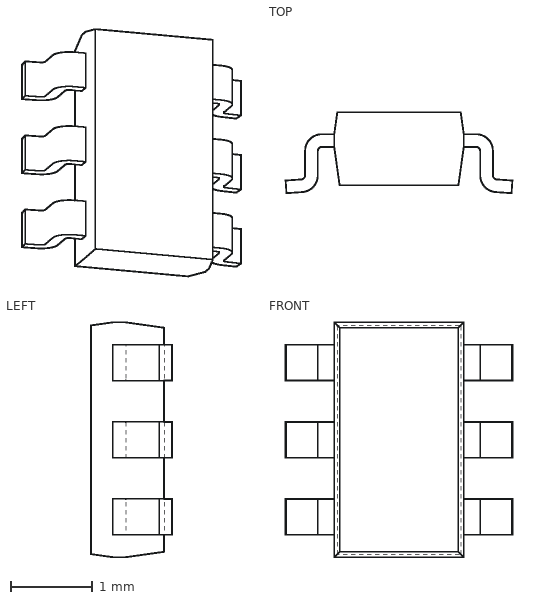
import cadquery as cq
import math


housing_length = 2.9
housing_width = 1.6
overall_height = 1.0
back_depth = 0.27
front_depth = 0.473
draft_angle = 8.0

lead_thickness = 0.16
lead_width = 0.445
lead_pitch = 0.95
leads_per_side = 3
lead_span = 2.8
leg_gap = 2.0
inner_radius = 0.05
foot_angle = 4.0

band_back = overall_height - back_depth
band_front = band_back - lead_thickness


def make_housing():
    """Straight band with a tapered part on its back and its front."""

    def slab(start_y, direction, depth, taper=0):
        plane = cq.Plane(origin=(0, start_y, 0), xDir=(1, 0, 0), normal=(0, direction, 0))
        return cq.Workplane(plane).rect(housing_width, housing_length).extrude(depth, taper=taper)

    band = slab(band_front, 1, lead_thickness)
    back = slab(band_back, 1, back_depth, draft_angle)
    front = slab(band_front, -1, front_depth, draft_angle)
    return band.union(back).union(front)


def make_lead(side, center_z):
    """Gull-wing lead butting on the band; side is +1 for the +X side and -1 for the -X side."""
    outer_radius = inner_radius + lead_thickness
    tilt = math.radians(foot_angle)

    wall_x = housing_width / 2
    leg_inner_x = leg_gap / 2
    leg_outer_x = leg_inner_x + lead_thickness

    shoulder_center = (leg_inner_x - inner_radius, band_front - inner_radius)
    foot_center_x = leg_outer_x + inner_radius
    foot_length = (lead_span / 2 - foot_center_x + inner_radius * math.sin(tilt)) / math.cos(tilt)
    foot_center_y = outer_radius * math.cos(tilt) + foot_length * math.sin(tilt)
    foot_center = (foot_center_x, foot_center_y)

    def on_arc(center, radius, angle):
        return (side * (center[0] + radius * math.cos(angle)), center[1] + radius * math.sin(angle))

    def foot_tip(radius):
        start_x, start_y = on_arc(foot_center, radius, foot_start)
        return (start_x + side * foot_length * math.cos(tilt), start_y - foot_length * math.sin(tilt))

    shoulder_end = math.pi / 2
    shoulder_middle = math.pi / 4
    leg_start = 0
    leg_end = math.pi
    foot_start = 1.5 * math.pi - tilt
    foot_middle = (leg_end + foot_start) / 2

    profile = (
        cq.Workplane("XY", origin=(0, 0, center_z - lead_width / 2))
        .moveTo(side * wall_x, band_back)
        .lineTo(*on_arc(shoulder_center, outer_radius, shoulder_end))
        .threePointArc(
            on_arc(shoulder_center, outer_radius, shoulder_middle),
            on_arc(shoulder_center, outer_radius, leg_start),
        )
        .lineTo(*on_arc(foot_center, inner_radius, leg_end))
        .threePointArc(
            on_arc(foot_center, inner_radius, foot_middle),
            on_arc(foot_center, inner_radius, foot_start),
        )
        .lineTo(*foot_tip(inner_radius))
        .lineTo(*foot_tip(outer_radius))
        .lineTo(*on_arc(foot_center, outer_radius, foot_start))
        .threePointArc(
            on_arc(foot_center, outer_radius, foot_middle),
            on_arc(foot_center, outer_radius, leg_end),
        )
        .lineTo(*on_arc(shoulder_center, inner_radius, leg_start))
        .threePointArc(
            on_arc(shoulder_center, inner_radius, shoulder_middle),
            on_arc(shoulder_center, inner_radius, shoulder_end),
        )
        .lineTo(side * wall_x, band_front)
        .close()
    )
    return profile.extrude(lead_width)


housing = make_housing()

leads = []
for side in (-1, 1):
    for row in range(leads_per_side):
        center_z = (row - (leads_per_side - 1) / 2) * lead_pitch
        leads.append(make_lead(side, center_z))

result = cq.Compound.makeCompound([housing.val(), *[lead.val() for lead in leads]])